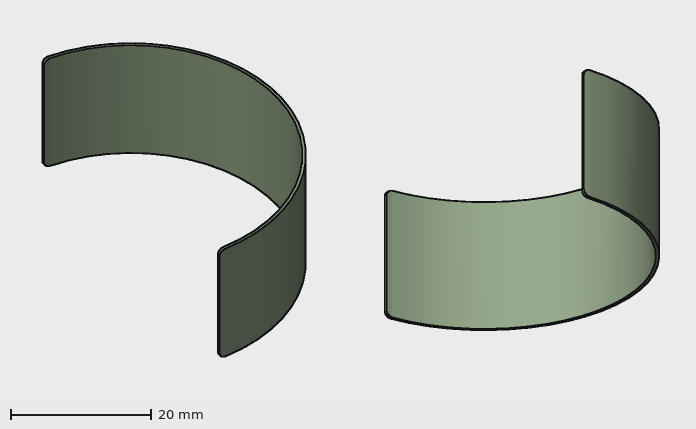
import cadquery as cq

outer_diameter = 50.0
wall = 0.5
height = 20.0
corner_radius = 1.0

outer_radius = outer_diameter / 2
inner_radius = outer_radius - wall


def half_ring():
    """Half of a thin tube: open toward -Y, ends lying on the XZ plane, base at Z = 0."""
    return (
        cq.Workplane("XY")
        .moveTo(-outer_radius, 0)
        .threePointArc((0, outer_radius), (outer_radius, 0))
        .lineTo(inner_radius, 0)
        .threePointArc((0, inner_radius), (-inner_radius, 0))
        .close()
        .extrude(height)
    )


def round_end_corners(band):
    """Round the top and bottom corners of both straight ends, through the wall."""
    return band.faces("<Y").edges("|X").fillet(corner_radius)


result = round_end_corners(half_ring())